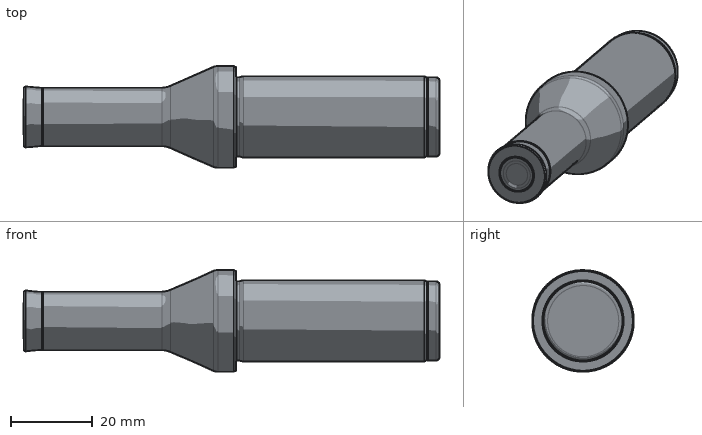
import cadquery as cq
import math

TOTAL_LENGTH = 102.0

HEAD_BACK = 4.6
HEAD_RADIUS = 15.0 / 2
HEAD_BACK_RADIUS = 7.1
HEAD_CHAMFER_LENGTH = 0.5
HEAD_CHAMFER_DEPTH = 0.3
RING_HEIGHT = 0.1
RING_OUTER_RADIUS = 4.5
RING_TOP_OUTER_RADIUS = 4.2
RING_TOP_INNER_RADIUS = 3.5
RING_INNER_RADIUS = 2.8

NECK_RADIUS = 14.4 / 2
NECK_CHAMFER_LENGTH = 0.3
NECK_CHAMFER_DEPTH = 0.1
NECK_BLEND_START = 33.9
CONE_START = 36.0
CONE_ANGLE = math.radians(23.7)

CONE_END = 46.5
COLLAR_RADIUS = 25.0 / 2
COLLAR_BACK = 52.1
COLLAR_CHAMFER_LENGTH = 0.6
COLLAR_CHAMFER_DEPTH = 0.3

SHANK_RADIUS = 20.0 / 2
RELIEF_RADIUS = 19.5 / 2
RELIEF_CORNER = 0.2
RELIEF_FLOOR_END = 52.9
SHANK_START = 53.9
SHANK_END = 98.2
END_GROOVE_START = 98.8
END_GROOVE_WIDTH = 0.3
END_GROOVE_DEPTH = 0.1
END_ROUNDING = 1.0


def turn(profile):
    """Revolve a half profile in the XY plane one full turn about the X axis."""
    return profile.close().revolve(360, (0, 0, 0), (1, 0, 0))


def make_head():
    profile = (
        cq.Workplane("XY")
        .moveTo(RING_HEIGHT, 0)
        .lineTo(RING_HEIGHT, RING_INNER_RADIUS)
        .lineTo(0, RING_TOP_INNER_RADIUS)
        .lineTo(0, RING_TOP_OUTER_RADIUS)
        .lineTo(RING_HEIGHT, RING_OUTER_RADIUS)
        .lineTo(RING_HEIGHT, HEAD_RADIUS - HEAD_CHAMFER_DEPTH)
        .lineTo(RING_HEIGHT + HEAD_CHAMFER_LENGTH, HEAD_RADIUS)
        .lineTo(HEAD_BACK, HEAD_BACK_RADIUS)
        .lineTo(HEAD_BACK, 0)
    )
    return turn(profile)


def make_holder():
    blend_length = CONE_START - NECK_BLEND_START
    cone_start_radius = NECK_RADIUS + blend_length * math.tan(CONE_ANGLE / 2)
    cone_end_radius = cone_start_radius + (CONE_END - CONE_START) * math.tan(CONE_ANGLE)
    collar_blend_end = CONE_END + (COLLAR_RADIUS - cone_end_radius) / math.tan(CONE_ANGLE / 2)
    rounding_start = TOTAL_LENGTH - END_ROUNDING
    end_groove_end = END_GROOVE_START + END_GROOVE_WIDTH
    profile = (
        cq.Workplane("XY")
        .moveTo(HEAD_BACK, 0)
        .lineTo(HEAD_BACK, NECK_RADIUS - NECK_CHAMFER_DEPTH)
        .lineTo(HEAD_BACK + NECK_CHAMFER_LENGTH, NECK_RADIUS)
        .lineTo(NECK_BLEND_START, NECK_RADIUS)
        .tangentArcPoint((CONE_START, cone_start_radius), relative=False)
        .lineTo(CONE_END, cone_end_radius)
        .tangentArcPoint((collar_blend_end, COLLAR_RADIUS), relative=False)
        .lineTo(COLLAR_BACK - COLLAR_CHAMFER_LENGTH, COLLAR_RADIUS)
        .lineTo(COLLAR_BACK, COLLAR_RADIUS - COLLAR_CHAMFER_DEPTH)
        .lineTo(COLLAR_BACK, RELIEF_RADIUS + RELIEF_CORNER)
        .lineTo(COLLAR_BACK + RELIEF_CORNER, RELIEF_RADIUS)
        .lineTo(RELIEF_FLOOR_END, RELIEF_RADIUS)
        .lineTo(SHANK_START, SHANK_RADIUS)
        .lineTo(SHANK_END, SHANK_RADIUS)
        .lineTo(END_GROOVE_START, RELIEF_RADIUS - END_GROOVE_DEPTH)
        .lineTo(end_groove_end, RELIEF_RADIUS)
        .lineTo(rounding_start, RELIEF_RADIUS)
        .tangentArcPoint((TOTAL_LENGTH, RELIEF_RADIUS - END_ROUNDING), relative=False)
        .lineTo(TOTAL_LENGTH, 0)
    )
    return turn(profile)


head = make_head()
holder = make_holder()

result = cq.Compound.makeCompound([head.val(), holder.val()])